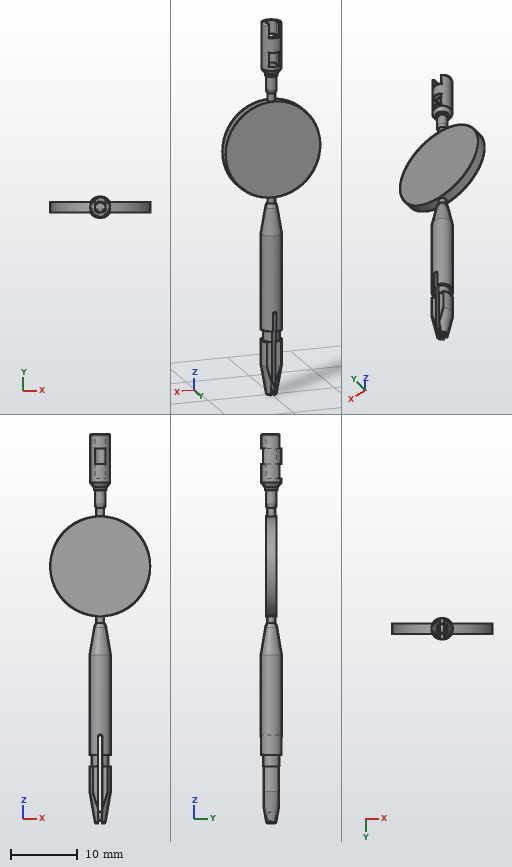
import cadquery as cq


disc_diameter = 15.0
disc_thickness = 1.6

neck_radius = 0.6
upper_neck_radius = 0.8
collar_radius = 0.95
head_radius = 1.5
shank_start_radius = 0.9
shank_radius = 1.6
groove_radius = 1.27
tip_radius = 0.8
tip_chamfer = 0.2

head_top = 19.8
head_shoulder = 12.55
collar_top = 11.85
collar_bottom = 11.5
upper_neck_top = 11.35
upper_neck_bottom = 9.3
upper_neck_round_bottom = 8.75
lower_neck_bottom = -8.5
shank_taper_top = -9.2
shank_top = -13.3
groove_top = -28.25
barb_top = -29.95
barb_taper_top = -33.75
total_length = 58.3
tip_bottom = head_top - total_length

head_fillet = 0.3
socket_radius = 0.8
socket_bottom = 13.15
window_top = 17.65
window_bottom = 15.35

slit_width = 0.6
slit_top = -25.25
barb_flat_offset = 1.15
ball_radius = 0.7
ball_height = -37.45

clearance = 1.0


def revolve_about_stem(profile):
    """Close a half profile drawn in XZ and revolve it about Z."""
    return profile.close().revolve(360, (0, 0, 0), (0, 1, 0))


def make_disc():
    return cq.Workplane("XZ").circle(disc_diameter / 2).extrude(disc_thickness / 2, both=True)


def make_head():
    """Head, collar and upper necks, down to the disc centre."""
    profile = (
        cq.Workplane("XZ")
        .moveTo(0, head_top)
        .lineTo(head_radius, head_top)
        .lineTo(head_radius, head_shoulder)
        .lineTo(collar_radius, collar_top)
        .lineTo(collar_radius, collar_bottom)
        .lineTo(upper_neck_radius, upper_neck_top)
        .lineTo(upper_neck_radius, upper_neck_bottom)
        .tangentArcPoint((neck_radius, upper_neck_round_bottom), relative=False)
        .lineTo(neck_radius, 0)
        .lineTo(0, 0)
    )
    return revolve_about_stem(profile).faces(">Z").edges().fillet(head_fillet)


def side_opening(bottom, top, direction):
    """Box as wide as the socket, from the stem axis out past the head toward +Y or -Y."""
    depth = head_radius + clearance
    height = top - bottom
    box = cq.Workplane("XY").box(2 * socket_radius, depth, height)
    return box.translate((0, direction * depth / 2, (top + bottom) / 2))


def cut_socket(head):
    socket = (
        cq.Workplane("XY", origin=(0, 0, socket_bottom))
        .circle(socket_radius)
        .extrude(head_top - socket_bottom)
    )
    return (
        head.cut(socket)
        .cut(side_opening(window_top, head_top, 1))
        .cut(side_opening(socket_bottom, window_bottom, 1))
        .cut(side_opening(window_bottom, window_top, -1))
    )


def make_shank():
    """Lower neck, shank, groove and barb, from the tip up to the disc centre."""
    profile = (
        cq.Workplane("XZ")
        .moveTo(0, tip_bottom)
        .lineTo(tip_radius - tip_chamfer, tip_bottom)
        .lineTo(tip_radius, tip_bottom + tip_chamfer)
        .lineTo(shank_radius, barb_taper_top)
        .lineTo(shank_radius, barb_top)
        .lineTo(groove_radius, barb_top)
        .lineTo(groove_radius, groove_top)
        .lineTo(shank_radius, groove_top)
        .lineTo(shank_radius, shank_top)
        .lineTo(shank_start_radius, shank_taper_top)
        .tangentArcPoint((neck_radius, lower_neck_bottom), relative=False)
        .lineTo(neck_radius, 0)
        .lineTo(0, 0)
    )
    return revolve_about_stem(profile)


def cut_barb_flats(shank):
    """Flatten the barb on +Y and -Y; each flat runs out at 45 degrees into the groove."""
    outer = shank_radius + clearance
    runout_top = barb_top + outer - barb_flat_offset
    for direction in (1, -1):
        flat = (
            cq.Workplane("YZ")
            .polyline([
                (direction * barb_flat_offset, tip_bottom),
                (direction * barb_flat_offset, barb_top),
                (direction * outer, runout_top),
                (direction * outer, tip_bottom),
            ])
            .close()
            .extrude(outer, both=True)
        )
        shank = shank.cut(flat)
    return shank


def cut_slit(shank):
    """Split the lower shank along Y with a slit that has a round top."""
    half_width = slit_width / 2
    arc_start = slit_top - half_width
    slit = (
        cq.Workplane("XZ")
        .moveTo(-half_width, tip_bottom - clearance)
        .lineTo(-half_width, arc_start)
        .threePointArc((0, slit_top), (half_width, arc_start))
        .lineTo(half_width, tip_bottom - clearance)
        .close()
        .extrude(shank_radius + clearance, both=True)
    )
    return shank.cut(slit)


def make_ball():
    return cq.Workplane("XY", origin=(0, 0, ball_height)).sphere(ball_radius)


head = cut_socket(make_head())
shank = cut_slit(cut_barb_flats(make_shank()))
result = make_disc().union(head).union(shank).union(make_ball())